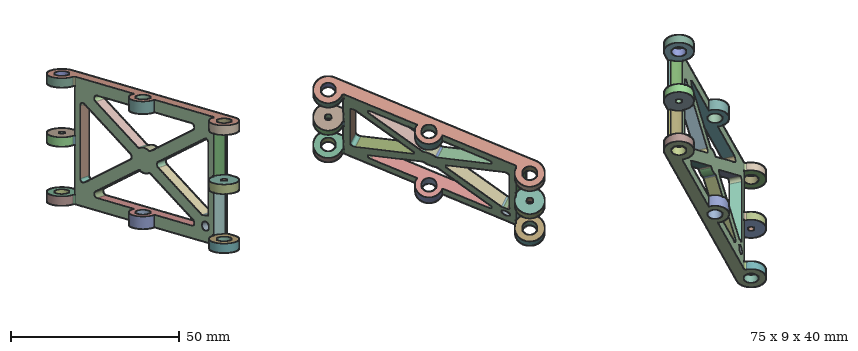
import cadquery as cq
import math

LENGTH = 75.0
HEIGHT = 40.0
PLATE_THICKNESS = 4.0

BARREL_RADIUS = 4.5
BARREL_HEIGHT = 3.0
BARREL_X = LENGTH / 2 - BARREL_RADIUS
AXIS_Y = -BARREL_RADIUS
BORE_RADIUS = 2.25
PIN_HOLE_RADIUS = 1.0
BARREL_FILLET = 0.5
BARREL_ROOT_X = 27.0

PLATE_END_X = 30.0
CLEARANCE_RADIUS = 4.7

BOSS_RADIUS = 4.2
RAIL_WIDTH = 4.0

WINDOW_HALF_HEIGHT = HEIGHT / 2 - RAIL_WIDTH
WINDOW_HALF_LENGTH = 26.0
STRUT_ANGLE = 31.3
UPPER_APEX_Z = 2.0
SIDE_APEX_X = 4.2
WINDOW_FILLET = 1.05
HUB_RADIUS = 4.0
HUB_FILLET = 0.75

MOUNT_X = 24.9
MOUNT_Z = -14.9
MOUNT_HOLE_RADIUS = 1.4
MOUNT_PAD_RADIUS = 3.3

STRUT_SLOPE = math.tan(math.radians(STRUT_ANGLE))


def upright_cylinder(x, radius, z_middle, height):
    """Cylinder along Z on the common barrel axis depth."""
    base = cq.Workplane("XY", origin=(x, AXIS_Y, z_middle - height / 2))
    return base.circle(radius).extrude(height)


def through_cylinder(x, z, radius):
    """Cylinder along Y that spans the plate thickness."""
    return cq.Workplane("XZ", origin=(x, 0, z)).circle(radius).extrude(PLATE_THICKNESS)


def plate_slab(x_min, x_max, z_middle, height):
    """Block of plate thickness, with its back face on Y = 0."""
    return cq.Workplane("XY").box(x_max - x_min, PLATE_THICKNESS, height).translate(
        ((x_min + x_max) / 2, -PLATE_THICKNESS / 2, z_middle)
    )


def triangle_prism(points):
    """Triangular prism through the plate with rounded corners."""
    prism = cq.Workplane("XZ").polyline(points).close().extrude(PLATE_THICKNESS)
    return prism.edges("|Y").fillet(WINDOW_FILLET)


def rail_window():
    """Upper window, with its inner corner cut away by the round hub."""
    corner_x = (WINDOW_HALF_HEIGHT - UPPER_APEX_Z) / STRUT_SLOPE
    window = triangle_prism(
        [(0, UPPER_APEX_Z), (corner_x, WINDOW_HALF_HEIGHT), (-corner_x, WINDOW_HALF_HEIGHT)]
    )
    window = window.cut(through_cylinder(0, 0, HUB_RADIUS))
    hub_corners = cq.selectors.BoxSelector(
        (-HUB_RADIUS, -PLATE_THICKNESS, 0), (HUB_RADIUS, 0, HUB_RADIUS)
    )
    return window.edges("|Y").edges(hub_corners).fillet(HUB_FILLET)


def side_window(side):
    """Window at one end: side is -1 for left and 1 for right."""
    corner_z = (WINDOW_HALF_LENGTH - SIDE_APEX_X) * STRUT_SLOPE
    end_x = side * WINDOW_HALF_LENGTH
    return triangle_prism([(side * SIDE_APEX_X, 0), (end_x, corner_z), (end_x, -corner_z)])


def mount_side_window():
    """Right window, with its lower corner cut away by the mounting pad."""
    window = side_window(1).cut(through_cylinder(MOUNT_X, MOUNT_Z, MOUNT_PAD_RADIUS))
    pad_corners = cq.selectors.BoxSelector(
        (MOUNT_X - MOUNT_PAD_RADIUS, -PLATE_THICKNESS, MOUNT_Z),
        (MOUNT_X + MOUNT_PAD_RADIUS, 0, MOUNT_Z + MOUNT_PAD_RADIUS),
    )
    return window.edges("|Y").edges(pad_corners).fillet(HUB_FILLET)


def barrel_lug(z_middle):
    """Right-hand barrel with its root blended into the front of the plate."""
    root = plate_slab(BARREL_ROOT_X, BARREL_X, z_middle, BARREL_HEIGHT)
    lug = root.union(upright_cylinder(BARREL_X, BARREL_RADIUS, z_middle, BARREL_HEIGHT))
    root_x = BARREL_X - math.sqrt(BARREL_RADIUS**2 - (AXIS_Y + PLATE_THICKNESS) ** 2)
    root_edge = cq.selectors.NearestToPointSelector((root_x, -PLATE_THICKNESS, z_middle))
    return lug.edges("|Z").edges(root_edge).fillet(BARREL_FILLET)


result = plate_slab(-PLATE_END_X, PLATE_END_X, 0, HEIGHT)
for side in (-1, 1):
    result = result.cut(upright_cylinder(side * BARREL_X, CLEARANCE_RADIUS, 0, HEIGHT))

upper_window = rail_window()
for window in (upper_window, upper_window.mirror("XY"), side_window(-1), mount_side_window()):
    result = result.cut(window)
result = result.cut(through_cylinder(MOUNT_X, MOUNT_Z, MOUNT_HOLE_RADIUS))

END_BARREL_Z = (HEIGHT - BARREL_HEIGHT) / 2
for z_middle, hole_radius in (
    (-END_BARREL_Z, BORE_RADIUS),
    (0, PIN_HOLE_RADIUS),
    (END_BARREL_Z, BORE_RADIUS),
):
    lug = barrel_lug(z_middle).cut(upright_cylinder(BARREL_X, hole_radius, z_middle, BARREL_HEIGHT))
    result = result.union(lug).union(lug.mirror("YZ"))

for rail_side in (-1, 1):
    boss_z = rail_side * (HEIGHT - RAIL_WIDTH) / 2
    result = result.union(upright_cylinder(0, BOSS_RADIUS, boss_z, RAIL_WIDTH))
    result = result.cut(upright_cylinder(0, BORE_RADIUS, boss_z, RAIL_WIDTH))